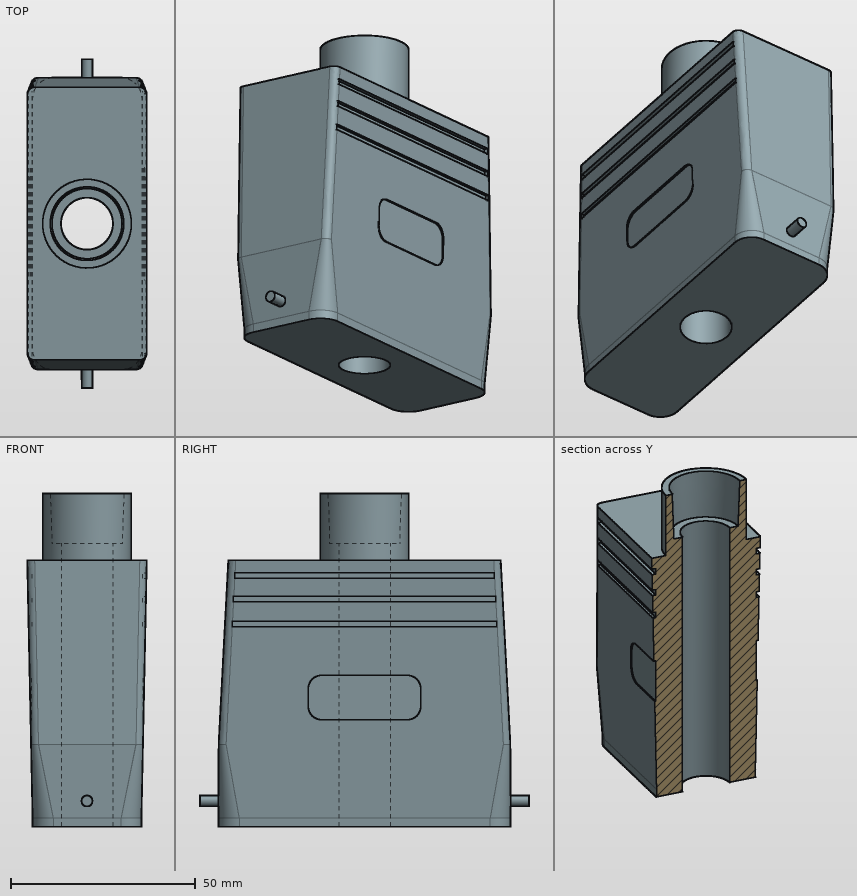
import cadquery as cq

total_height = 90.3
shell_height = 72.2
knee_height = 22.4
rim_height = 2.4

rim_width = 29.5
top_width = 32.4
rim_length = 79.1
knee_length = 79.0
top_length = 73.8
rim_corner_radius = 5.6
upper_corner_radius = 2.0

knee_fraction = (knee_height - rim_height) / (shell_height - rim_height)
knee_width = rim_width + (top_width - rim_width) * knee_fraction

neck_diameter = 24.0
socket_mouth_diameter = 20.0
socket_floor_diameter = 19.0
socket_floor_height = 76.8
cable_hole_diameter = 14.0

pin_diameter = 3.0
pin_span = 89.0
pin_height = 7.0

groove_height = 1.5
groove_top_levels = (68.8, 62.5, 55.7)
groove_floor_offset = 15.0

label_length = 30.4
label_height = 12.0
label_center_height = 35.0
label_corner_radius = 3.6
label_floor_offset = 15.1


def flat_length_at(level):
    """Length of the flat part of a broad side at a level above the knee."""
    rise = (level - knee_height) / (shell_height - knee_height)
    return knee_length + (top_length - knee_length) * rise - 2 * upper_corner_radius


def outline(width, length, corner_radius, level):
    """Rounded rectangle centred on the Z axis at the given level."""
    sketch = cq.Sketch().rect(width, length).vertices().fillet(corner_radius)
    return sketch.moved(cq.Location(cq.Vector(0, 0, level)))


def loft_between(lower, upper):
    """Solid with straight walls from one outline up to the next."""
    return cq.Workplane("XY").placeSketch(lower, upper).loft(ruled=True)


def make_shell():
    """Straight rim, a flank whose corners sharpen upward, and tapered upper walls."""
    bottom = outline(rim_width, rim_length, rim_corner_radius, 0)
    rim = outline(rim_width, rim_length, rim_corner_radius, rim_height)
    knee = outline(knee_width, knee_length, upper_corner_radius, knee_height)
    top = outline(top_width, top_length, upper_corner_radius, shell_height)
    shell = loft_between(bottom, rim)
    shell = shell.union(loft_between(rim, knee))
    return shell.union(loft_between(knee, top)).clean()


def make_neck():
    neck = cq.Workplane("XY").workplane(offset=shell_height).circle(neck_diameter / 2)
    return neck.extrude(total_height - shell_height)


def make_pins():
    """One rod along Y whose ends stand out of both end faces."""
    rod = cq.Workplane("XZ").center(0, pin_height).circle(pin_diameter / 2)
    return rod.extrude(pin_span / 2, both=True)


def make_cable_passage():
    """Hole through the whole part with the tapered socket above it."""
    hole = cq.Workplane("XY").circle(cable_hole_diameter / 2).extrude(total_height)
    socket = (
        cq.Workplane("XY")
        .workplane(offset=socket_floor_height)
        .circle(socket_floor_diameter / 2)
        .workplane(offset=total_height - socket_floor_height)
        .circle(socket_mouth_diameter / 2)
        .loft()
    )
    return hole.union(socket)


def make_groove(side, top_level):
    """Cutter for one groove; side is +1 or -1 along X."""
    depth = top_width / 2 - groove_floor_offset
    center_x = side * (groove_floor_offset + depth / 2)
    center_z = top_level - groove_height / 2
    block = cq.Workplane("XY").box(depth, flat_length_at(center_z), groove_height)
    return block.translate((center_x, 0, center_z))


def make_label_recess(side):
    """Cutter for the label recess; side is +1 or -1 along X."""
    depth = top_width / 2 - label_floor_offset
    block = cq.Workplane("XY").box(depth, label_length, label_height)
    block = block.edges("|X").fillet(label_corner_radius)
    return block.translate((side * (label_floor_offset + depth / 2), 0, label_center_height))


result = make_shell().union(make_neck()).union(make_pins())
result = result.cut(make_cable_passage())
for side in (-1, 1):
    for top_level in groove_top_levels:
        result = result.cut(make_groove(side, top_level))
    result = result.cut(make_label_recess(side))